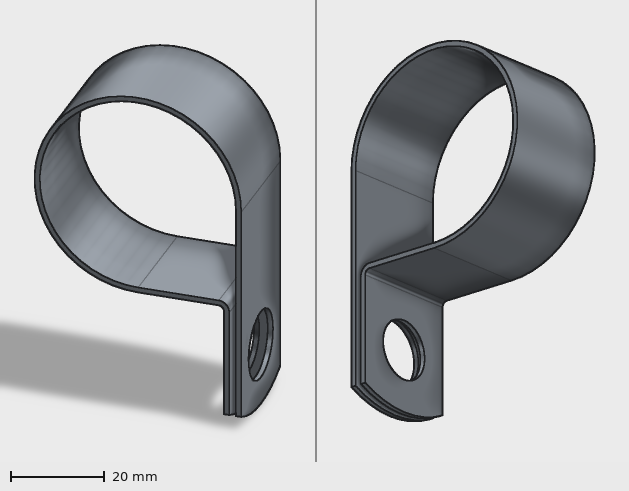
import cadquery as cq
import math

strap_width = 25.4
thickness = 1.2
loop_radius = 23.4
total_height = 75.8
leg_gap = 1.5
bend_outer_radius = 2.4
short_leg_hole_diameter = 13.6
long_leg_hole_diameter = 15.8
hole_height = 14.25
tip_radius = 28.5

inner_radius = loop_radius - thickness
bend_inner_radius = bend_outer_radius - thickness
tip_z = loop_radius - total_height
short_leg_outer_x = inner_radius - leg_gap
short_leg_inner_x = short_leg_outer_x - thickness
bend_x = short_leg_outer_x - bend_outer_radius
bend_z = -inner_radius - bend_outer_radius
diagonal = math.sqrt(0.5)


def strap_profile():
    """Closed strip outline: long leg, three-quarter loop, flat floor, bend and short leg."""
    return (
        cq.Workplane("XZ")
        .moveTo(loop_radius, tip_z)
        .lineTo(loop_radius, 0)
        .threePointArc((-loop_radius * diagonal, loop_radius * diagonal), (0, -loop_radius))
        .lineTo(bend_x, -loop_radius)
        .threePointArc(
            (bend_x + bend_inner_radius * diagonal, bend_z + bend_inner_radius * diagonal),
            (short_leg_inner_x, bend_z),
        )
        .lineTo(short_leg_inner_x, tip_z)
        .lineTo(short_leg_outer_x, tip_z)
        .lineTo(short_leg_outer_x, bend_z)
        .threePointArc(
            (bend_x + bend_outer_radius * diagonal, bend_z + bend_outer_radius * diagonal),
            (bend_x, -inner_radius),
        )
        .lineTo(0, -inner_radius)
        .threePointArc((-inner_radius * diagonal, inner_radius * diagonal), (inner_radius, 0))
        .lineTo(inner_radius, tip_z)
        .close()
    )


def side_envelope():
    """Block whose lower end is rounded, used to trim the leg tips."""
    half_width = strap_width / 2
    corner_rise = tip_radius - math.sqrt(tip_radius**2 - half_width**2)
    return (
        cq.Workplane("YZ")
        .moveTo(-half_width, loop_radius)
        .lineTo(-half_width, tip_z + corner_rise)
        .threePointArc((0, tip_z), (half_width, tip_z + corner_rise))
        .lineTo(half_width, loop_radius)
        .close()
        .extrude(loop_radius, both=True)
    )


def leg_hole(start_x, diameter):
    """Cylinder along +X from start_x, on the shared hole axis of the two legs."""
    return (
        cq.Workplane("YZ", origin=(start_x, 0, tip_z + hole_height))
        .circle(diameter / 2)
        .extrude(loop_radius - start_x)
    )


strap = strap_profile().extrude(strap_width / 2, both=True)
result = (
    strap.intersect(side_envelope())
    .cut(leg_hole(short_leg_inner_x, short_leg_hole_diameter))
    .cut(leg_hole(inner_radius, long_leg_hole_diameter))
)